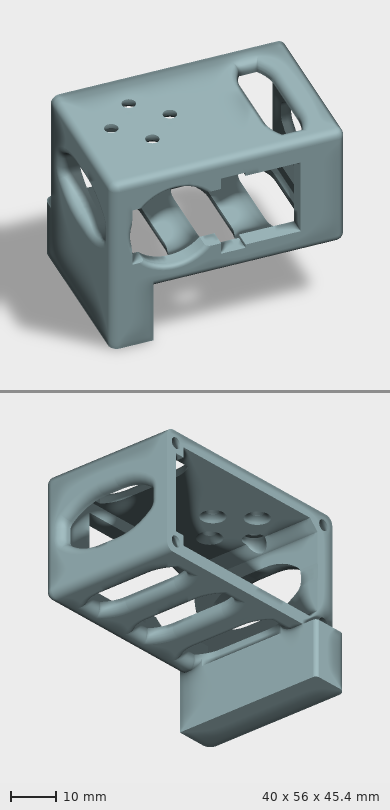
import cadquery as cq
import math

DEPTH = 36.0
LENGTH = 56.0
HEIGHT = 30.9
EDGE_RADIUS = 2.0

WALL = 3.0
FRONT_WALL = 5.0
FAR_WALL = 4.0
POST_SIZE = 2.6
CHAMFER_SIZE = 2.5

FOOT_HEIGHT = 14.5
FOOT_LENGTH = 10.0
FOOT_OVERHANG = 4.0
FOOT_BACK_RADIUS = 1.0

OPENING_LENGTH = 25.9
OPENING_X = DEPTH / 2
LIP_RADIUS = EDGE_RADIUS
SLOT_WIDTH = 8.0
SLOT_STRAIGHT = 14.2
SLOT_BOW_RADIUS = 10.0
SLOT_PITCH = 16.0
FLOOR_SLOT_COUNT = 3
FIRST_SLOT_Y = 13.0
WINDOW_HEIGHT = 13.0
WINDOW_STRAIGHT = 5.1
WINDOW_BOW_RADIUS = 15.0
WINDOW_CORNER_RADIUS = 2.2

ROUND_RADIUS = 10.5
ROUND_Y = 15.3
ROUND_LIP_RADIUS = 1.0
NECK_WIDTH = 15.05
NECK_END_Y = 26.2
NOTCH_WIDTH = 20.9
NOTCH_LENGTH = 5.8
BAY_WIDTH = 19.1
BAY_END_Y = 45.2

SCREW_DIAMETER = 2.8
SCREW_INSET = 3.0
SCREW_DEPTH = 10.0
MOUNT_DIAMETER = 3.2
MOUNT_CIRCLE_RADIUS = 7.0
MOUNT_X = 15.95
MOUNT_Y = 15.0
COUNTERSINK_DEPTH = 1.45
FRONT_BORE_DIAMETER = 5.5
FRONT_BORE_SKIN = 1.1

MID_Z = HEIGHT / 2

MARGIN = 0.05


def bowed_outline(plane, length, width, straight, bow_radius):
    """Closed outline: straight middle, arcs bowing in to flat ends."""
    reach = (length - straight) / 2
    sweep = math.asin(reach / bow_radius)
    half_straight = straight / 2
    half_width = width / 2
    end_y = half_width - bow_radius * (1 - math.cos(sweep))
    middle_x = half_straight + bow_radius * math.sin(sweep / 2)
    middle_y = half_width - bow_radius * (1 - math.cos(sweep / 2))
    half_length = length / 2
    return (
        cq.Workplane(plane)
        .moveTo(-half_straight, half_width)
        .lineTo(half_straight, half_width)
        .threePointArc((middle_x, middle_y), (half_length, end_y))
        .lineTo(half_length, -end_y)
        .threePointArc((middle_x, -middle_y), (half_straight, -half_width))
        .lineTo(-half_straight, -half_width)
        .threePointArc((-middle_x, -middle_y), (-half_length, -end_y))
        .lineTo(-half_length, end_y)
        .threePointArc((-middle_x, middle_y), (-half_straight, half_width))
        .close()
    )


def slot_cutter(y, z_start, depth):
    """Vertical prism of one slot, rising from z_start."""
    outline = bowed_outline("XY", OPENING_LENGTH, SLOT_WIDTH, SLOT_STRAIGHT, SLOT_BOW_RADIUS)
    return outline.extrude(depth).translate((OPENING_X, y, z_start))


def round_lip(body, low, high):
    """Round the opening edges lying inside the given box."""
    return body.edges(cq.selectors.BoxSelector(low, high, boundingbox=True)).fillet(LIP_RADIUS)


def make_shell():
    """Rounded box with a cavity; ridges run along its four inner corners."""
    outer = (
        cq.Workplane("XY")
        .box(DEPTH, LENGTH, HEIGHT, centered=False)
        .edges("|X or >X")
        .fillet(EDGE_RADIUS)
    )
    low_z = WALL
    high_z = HEIGHT - WALL
    front_y = FRONT_WALL
    back_y = LENGTH - WALL
    cavity_profile = [
        (front_y, low_z + CHAMFER_SIZE),
        (front_y + CHAMFER_SIZE, low_z),
        (back_y - POST_SIZE, low_z),
        (back_y - POST_SIZE, low_z + POST_SIZE),
        (back_y, low_z + POST_SIZE),
        (back_y, high_z - POST_SIZE),
        (back_y - POST_SIZE, high_z - POST_SIZE),
        (back_y - POST_SIZE, high_z),
        (front_y + CHAMFER_SIZE, high_z),
        (front_y, high_z - CHAMFER_SIZE),
    ]
    cavity = cq.Workplane("YZ").polyline(cavity_profile).close().extrude(DEPTH - FAR_WALL)
    return outer.cut(cavity)


def cut_slots(body):
    """Row of slots through the floor, and one through the roof above the last."""
    last_y = FIRST_SLOT_Y + (FLOOR_SLOT_COUNT - 1) * SLOT_PITCH
    for index in range(FLOOR_SLOT_COUNT):
        y = FIRST_SLOT_Y + index * SLOT_PITCH
        body = body.cut(slot_cutter(y, 0, WALL))
    body = body.cut(slot_cutter(last_y, HEIGHT - WALL, WALL))

    near_x = OPENING_X - OPENING_LENGTH / 2 - MARGIN
    far_x = OPENING_X + OPENING_LENGTH / 2 + MARGIN
    low_y = FIRST_SLOT_Y - SLOT_WIDTH / 2 - MARGIN
    high_y = last_y + SLOT_WIDTH / 2 + MARGIN
    for z in (0, HEIGHT):
        body = round_lip(body, (near_x, low_y, z - MARGIN), (far_x, high_y, z + MARGIN))
    return body


def cut_end_windows(body):
    """Matching windows through the front and back walls."""
    window = (
        bowed_outline("XZ", OPENING_LENGTH, WINDOW_HEIGHT, WINDOW_STRAIGHT, WINDOW_BOW_RADIUS)
        .extrude(-LENGTH)
        .edges("(<X or >X) and |Y")
        .fillet(WINDOW_CORNER_RADIUS)
        .translate((OPENING_X, 0, MID_Z))
    )
    body = body.cut(window)
    near_x = OPENING_X - OPENING_LENGTH / 2 - MARGIN
    far_x = OPENING_X + OPENING_LENGTH / 2 + MARGIN
    low_z = MID_Z - WINDOW_HEIGHT / 2 - MARGIN
    high_z = MID_Z + WINDOW_HEIGHT / 2 + MARGIN
    for y in (0, LENGTH):
        body = round_lip(body, (near_x, y - MARGIN, low_z), (far_x, y + MARGIN, high_z))
    return body


def add_foot(body):
    """Solid block under the front end; it also squares off the body's lower front edges."""
    foot = (
        cq.Workplane("XY")
        .box(DEPTH + FOOT_OVERHANG, FOOT_LENGTH, FOOT_HEIGHT, centered=False)
        .edges("|Z and <Y")
        .fillet(EDGE_RADIUS)
        .edges("|Z and <X and >Y")
        .fillet(FOOT_BACK_RADIUS)
        .translate((-FOOT_OVERHANG, 0, -FOOT_HEIGHT))
    )
    edge_filler = (
        cq.Workplane("XY")
        .box(DEPTH, FOOT_LENGTH, EDGE_RADIUS, centered=False)
        .edges("|Z and >X and <Y")
        .fillet(EDGE_RADIUS)
        .cut(slot_cutter(FIRST_SLOT_Y, 0, WALL))
    )
    return body.union(foot).union(edge_filler)


def cut_servo_opening(body):
    """Stepped bay and round end; the round also grazes the front wall along its depth.

    The outer edges of the round are softened.
    """
    round_end = cq.Workplane("YZ").center(ROUND_Y, MID_Z).circle(ROUND_RADIUS).extrude(DEPTH)
    body = body.cut(round_end)
    steps = [
        (FRONT_WALL, NECK_END_Y, NECK_WIDTH),
        (NECK_END_Y, NECK_END_Y + NOTCH_LENGTH, NOTCH_WIDTH),
        (NECK_END_Y + NOTCH_LENGTH, BAY_END_Y, BAY_WIDTH),
    ]
    for start_y, end_y, width in steps:
        step = (
            cq.Workplane("XY")
            .box(FAR_WALL, end_y - start_y, width, centered=False)
            .translate((DEPTH - FAR_WALL, start_y, MID_Z - width / 2))
        )
        body = body.cut(step)
    return body.faces(">X").edges("%CIRCLE").fillet(ROUND_LIP_RADIUS)


def drill_screw_holes(body):
    """Blind screw holes in the open rim."""
    screws = (
        cq.Workplane("YZ")
        .center(LENGTH / 2, MID_Z)
        .rect(LENGTH - 2 * SCREW_INSET, HEIGHT - 2 * SCREW_INSET, forConstruction=True)
        .vertices()
        .circle(SCREW_DIAMETER / 2)
        .extrude(SCREW_DEPTH)
    )
    return body.cut(screws)


def drill_mounting_holes(body):
    """Ring of roof holes: three with 45-degree countersinks inside, the front one counterbored."""
    hole_radius = MOUNT_DIAMETER / 2
    drill_depth = WALL + CHAMFER_SIZE
    mouth_radius = hole_radius + COUNTERSINK_DEPTH
    roof_underside = HEIGHT - WALL
    countersunk_spots = [
        (MOUNT_X + MOUNT_CIRCLE_RADIUS, MOUNT_Y),
        (MOUNT_X, MOUNT_Y + MOUNT_CIRCLE_RADIUS),
        (MOUNT_X - MOUNT_CIRCLE_RADIUS, MOUNT_Y),
    ]
    front_spot = (MOUNT_X, MOUNT_Y - MOUNT_CIRCLE_RADIUS)

    holes = (
        cq.Workplane("XY", origin=(0, 0, HEIGHT))
        .pushPoints(countersunk_spots + [front_spot])
        .circle(hole_radius)
        .extrude(-drill_depth)
    )
    body = body.cut(holes)
    for x, y in countersunk_spots:
        base = cq.Vector(x, y, roof_underside)
        cone = cq.Solid.makeCone(mouth_radius, hole_radius, COUNTERSINK_DEPTH, pnt=base)
        body = body.cut(cq.Workplane(cone))
    front_bore = (
        cq.Workplane("XY", origin=(*front_spot, HEIGHT - FRONT_BORE_SKIN))
        .circle(FRONT_BORE_DIAMETER / 2)
        .extrude(FRONT_BORE_SKIN - drill_depth)
    )
    return body.cut(front_bore)


shell = cut_end_windows(cut_slots(make_shell()))
footed_shell = cut_servo_opening(add_foot(shell))
result = drill_mounting_holes(drill_screw_holes(footed_shell))